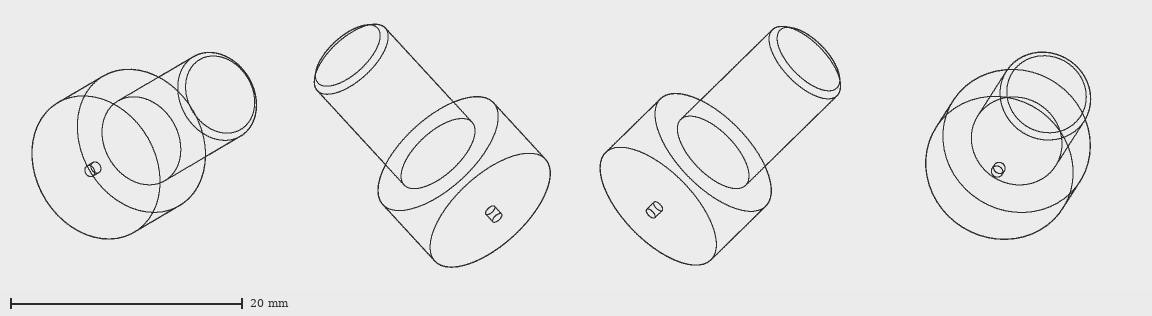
import cadquery as cq

total_length = 21.5
pin_length = 1.0
head_length = 7.5
shaft_length = total_length - pin_length - head_length

head_diameter = 13.0
shaft_diameter = 8.0
pin_diameter = 1.0

shaft_end_chamfer = 0.5


def cylinder_along_y(diameter, start_y, length):
    """Solid cylinder on the Y axis, growing toward +Y from start_y."""
    base = cq.Workplane("XZ", origin=(0, start_y, 0))
    return base.circle(diameter / 2).extrude(-length)


head = cylinder_along_y(head_diameter, 0, head_length)
pin = cylinder_along_y(pin_diameter, -pin_length, pin_length)
shaft = cylinder_along_y(shaft_diameter, head_length, shaft_length)
shaft = shaft.faces(">Y").edges().chamfer(shaft_end_chamfer)

result = head.union(shaft).union(pin)